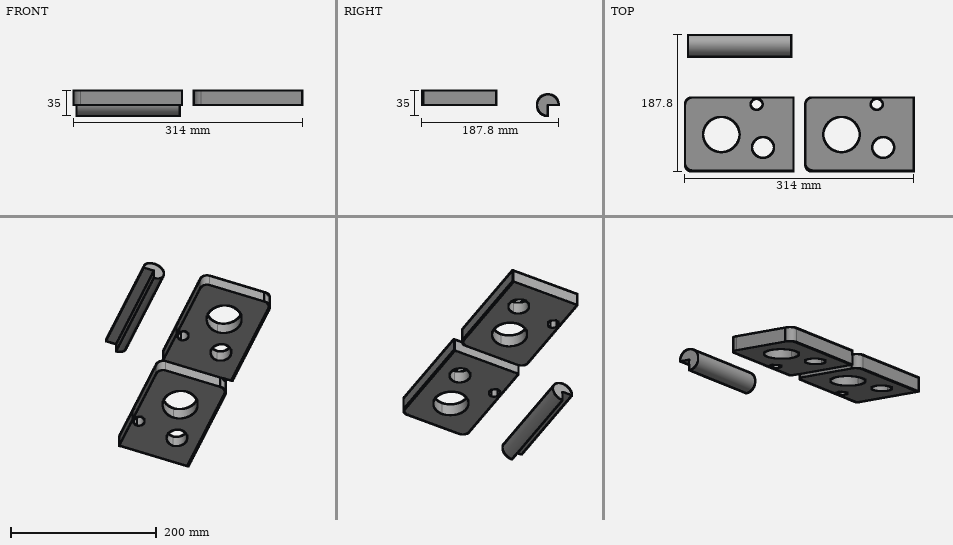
import cadquery as cq

total_length = 314.0
plate_pitch = 165.0
plate_length = total_length - plate_pitch
plate_width = 100.2
plate_height = 20.0
corner_radius = 10.0
edge_shift = 2.0

large_hole_diameter = 50.0
large_hole_x = 50.0
large_hole_y = plate_width / 2
medium_hole_diameter = 30.0
medium_hole_x = 107.0
medium_hole_y = 32.3
small_hole_diameter = 16.5
small_hole_x = 98.3
small_hole_web = 0.3
small_hole_y = plate_width - small_hole_web - small_hole_diameter / 2

rod_diameter = 30.0
rod_radius = rod_diameter / 2
rod_length = 142.0
rod_start_x = 4.0
overall_width = 187.8
rod_center_y = overall_width - rod_radius

plate_starts = [0, plate_pitch]


def plate_blank(start_x, start_y):
    """Rectangular plate with both corners of its -X end rounded."""
    return (
        cq.Workplane("XY")
        .box(plate_length, plate_width, plate_height, centered=False)
        .edges("|Z and <X")
        .fillet(corner_radius)
        .translate((start_x, start_y, 0))
    )


def through_hole(x, y, diameter):
    return cq.Workplane("XY").center(x, y).circle(diameter / 2).extrude(plate_height)


def drilled_plate(start_x, start_y):
    """One plate profile with its three through holes."""
    plate = plate_blank(start_x, start_y)
    for x, y, diameter in [
        (large_hole_x, large_hole_y, large_hole_diameter),
        (medium_hole_x, medium_hole_y, medium_hole_diameter),
        (small_hole_x, small_hole_y, small_hole_diameter),
    ]:
        plate = plate.cut(through_hole(start_x + x, start_y + y, diameter))
    return plate


def make_edge_strip(start_x):
    """Thin strip that follows the front side of a plate and its front rounded corner."""
    return plate_blank(start_x, 0).cut(plate_blank(start_x, edge_shift))


def make_plate(start_x):
    """Plate behind the edge strip; each hole is narrowed to the overlap of two shifted holes."""
    rear_profile = drilled_plate(start_x, edge_shift)
    front_profile = drilled_plate(start_x, 0)
    return rear_profile.union(front_profile).cut(make_edge_strip(start_x))


def make_rod():
    """Round rod along X with its lower +Y quarter cut away."""
    rod = cq.Workplane("YZ").circle(rod_radius).extrude(rod_length)
    quarter = (
        cq.Workplane("YZ")
        .rect(rod_radius, -rod_radius, centered=False)
        .extrude(rod_length)
    )
    return rod.cut(quarter).translate((rod_start_x, rod_center_y, 0))


plates = [make_plate(start_x) for start_x in plate_starts]
edge_strips = [make_edge_strip(start_x) for start_x in plate_starts]
rod = make_rod()

result = cq.Compound.makeCompound(
    [
        *[solid for plate in plates for solid in plate.vals()],
        *[solid for strip in edge_strips for solid in strip.vals()],
        rod.val(),
    ]
)